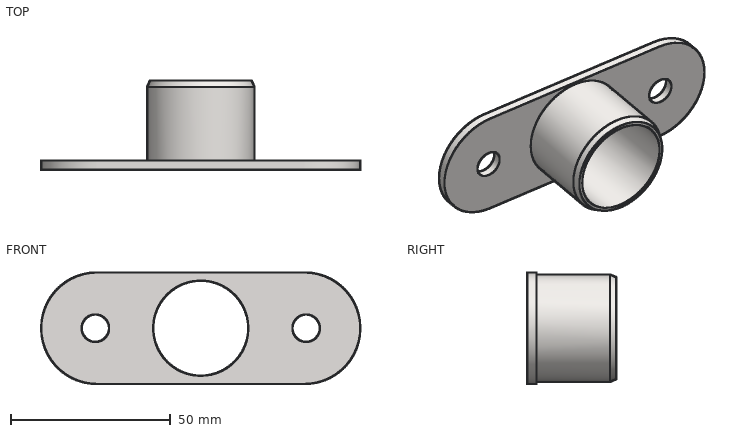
import cadquery as cq

plate_length = 100.0
plate_width = 35.0
plate_thickness = 3.0

total_depth = 28.0
tube_diameter = 33.7
wall_thickness = 2.0
bore_diameter = tube_diameter - 2 * wall_thickness
chamfer_length = 2.0
chamfer_inset = 0.9

hole_diameter = 8.5
hole_spacing = 66.0


def make_plate():
    """Plate with full-round ends, extruded from Y = 0 toward +Y."""
    return (
        cq.Workplane("XZ")
        .slot2D(plate_length, plate_width)
        .extrude(-plate_thickness)
    )


def make_tube():
    """Solid cylinder about Y with a chamfered free end, revolved from its half profile."""
    radius = tube_diameter / 2
    return (
        cq.Workplane("XY")
        .moveTo(0, 0)
        .lineTo(radius, 0)
        .lineTo(radius, total_depth - chamfer_length)
        .lineTo(radius - chamfer_inset, total_depth)
        .lineTo(0, total_depth)
        .close()
        .revolve(360, (0, 0, 0), (0, 1, 0))
    )


def make_hole(x, diameter):
    """Cutter along Y, as long as the whole part is deep."""
    return cq.Workplane("XZ").center(x, 0).circle(diameter / 2).extrude(-total_depth)


result = make_plate().union(make_tube()).cut(make_hole(0, bore_diameter))
for side in (-1, 1):
    result = result.cut(make_hole(side * hole_spacing / 2, hole_diameter))